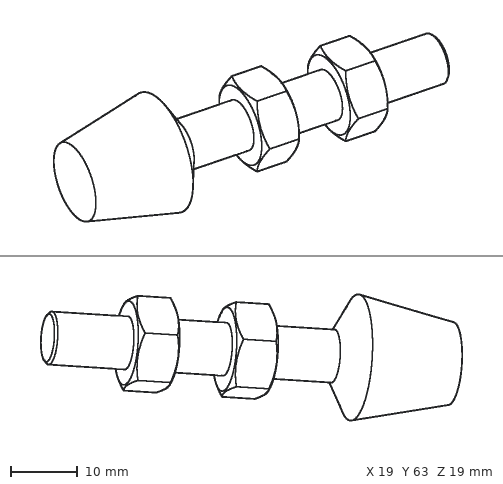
import cadquery as cq
import math

total_length = 63.0

rod_diameter = 8.0
rod_chamfer = 0.4
head_diameter = 19.0
tip_diameter = 12.5
tip_cone_length = 15.0
back_cone_length = 3.4

nut_sides = 6
nut_across_flats = 13.0
nut_thickness = 6.5
nut_face_diameter = 12.6
nut_chamfer_angle = 30.0
nut_starts = [28.8, 44.2]

rod_radius = rod_diameter / 2
head_end = tip_cone_length + back_cone_length


def revolve_about_y(outline):
    """Turn a closed (radius, y) outline about the Y axis."""
    return cq.Workplane("XY").polyline(outline).close().revolve(360, (0, 0, 0), (0, 1, 0))


def make_spindle():
    """Head and chamfered rod, turned as one piece."""
    return revolve_about_y([
        (0, 0),
        (tip_diameter / 2, 0),
        (head_diameter / 2, tip_cone_length),
        (rod_radius, head_end),
        (rod_radius, total_length - rod_chamfer),
        (rod_radius - rod_chamfer, total_length),
        (0, total_length),
    ])


def make_nut(start):
    """Hexagon nut with corners on +X and -X, chamfered on both faces and bored to fit the rod."""
    end = start + nut_thickness
    across_corners = nut_across_flats / math.cos(math.pi / nut_sides)
    corner_radius = across_corners / 2
    face_radius = nut_face_diameter / 2
    chamfer_depth = (corner_radius - face_radius) * math.tan(math.radians(nut_chamfer_angle))

    hexagon = (
        cq.Workplane("XZ", origin=(0, start, 0))
        .polygon(nut_sides, across_corners)
        .extrude(-nut_thickness)
    )
    chamfered_ring = revolve_about_y([
        (rod_radius, start),
        (face_radius, start),
        (corner_radius, start + chamfer_depth),
        (corner_radius, end - chamfer_depth),
        (face_radius, end),
        (rod_radius, end),
    ])
    return hexagon.intersect(chamfered_ring).solids()


spindle = make_spindle()
nuts = [make_nut(start) for start in nut_starts]

result = cq.Compound.makeCompound([spindle.val(), *[nut.val() for nut in nuts]])